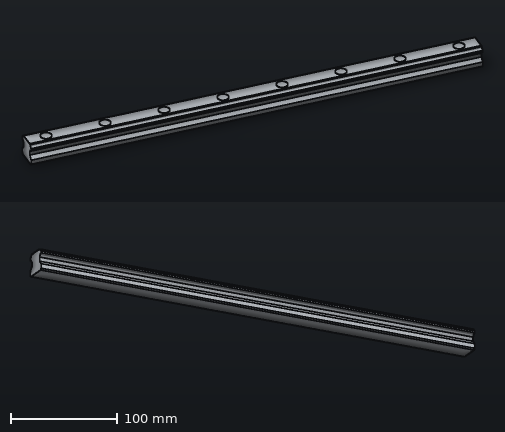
import cadquery as cq
import math

length = 460.0
width = 23.0
height = 22.0

top_flat_width = 15.0
top_chamfer_run = 1.5
top_chamfer_drop = 0.5
head_side_top = 19.0
head_side_bottom = 17.0
track_inset = 2.8
track_sag = 0.5

neck_width = 16.0
neck_top = 14.0
neck_bottom = 9.5
lower_track_end = 14.5
foot_side_top = 6.0
bottom_chamfer = 1.5

recess_count = 8
recess_end_margin = 20.0
recess_diameter = 11.0
recess_depth = 0.25

half_length = length / 2
half_width = width / 2
half_neck = neck_width / 2
recess_pitch = (length - 2 * recess_end_margin) / (recess_count - 1)


def track_middle(outer, inner, inward_z):
    """Point on a track arc: the chord's middle moved into the rail by the sag.

    inward_z is -1 for the upper track and +1 for the lower one.
    """
    chord_x = outer[0] - inner[0]
    chord_z = outer[1] - inner[1]
    chord = math.hypot(chord_x, chord_z)
    middle_x = (outer[0] + inner[0]) / 2 - track_sag * abs(chord_z) / chord
    middle_z = (outer[1] + inner[1]) / 2 + inward_z * track_sag * abs(chord_x) / chord
    return middle_x, middle_z


def half_rail():
    """The +X half of the rail, extruded along its whole length."""
    lower_outer = (half_width, head_side_bottom)
    lower_inner = (half_width - track_inset, lower_track_end)
    upper_outer = (half_width, head_side_top)
    upper_inner = (top_flat_width / 2 + top_chamfer_run, height - top_chamfer_drop)
    profile = (
        cq.Workplane("XZ")
        .lineTo(half_width - bottom_chamfer, 0)
        .lineTo(half_width, bottom_chamfer)
        .lineTo(half_width, foot_side_top)
        .lineTo(half_neck, neck_bottom)
        .lineTo(half_neck, neck_top)
        .lineTo(*lower_inner)
        .threePointArc(track_middle(lower_outer, lower_inner, 1), lower_outer)
        .lineTo(*upper_outer)
        .threePointArc(track_middle(upper_outer, upper_inner, -1), upper_inner)
        .lineTo(top_flat_width / 2, height)
        .lineTo(0, height)
        .close()
    )
    return profile.extrude(half_length, both=True)


def top_recesses():
    """Discs that cut the recesses, evenly spaced about the rail's middle."""
    return (
        cq.Workplane("XY", origin=(0, 0, height - recess_depth))
        .rarray(4.5, recess_pitch, 1, recess_count)
        .circle(recess_diameter / 2)
        .extrude(recess_depth)
    )


right_half = half_rail()
rail = right_half.union(right_half.mirror("YZ")).clean()
result = rail.cut(top_recesses())